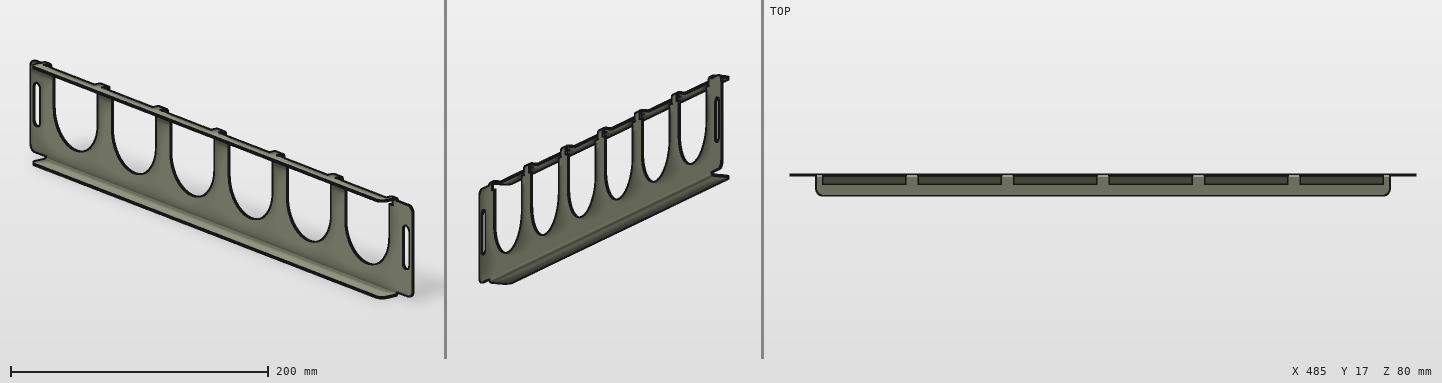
import cadquery as cq

length = 485.0
height = 80.0
depth = 17.0
sheet = 1.5
bend_radius = 3.0

flange_inset = 20.0
flange_length = length - 2 * flange_inset
flange_corner_radius = 6.0
web_corner_radius = 6.0

opening_count = 6
opening_end_distance = 25.0
opening_width = 56.0
opening_depth = 63.0
notch_width = 64.5
notch_depth = 8.0
opening_pitch = (length - 2 * opening_end_distance - notch_width) / (opening_count - 1)

slot_length = 35.5
slot_width = 8.2
slot_end_distance = 8.2
slot_height = 42.0


def make_channel():
    """C section with rounded folds; back face on Y = 0, underside on Z = 0."""
    section = (
        cq.Workplane("YZ")
        .moveTo(-depth, 0)
        .lineTo(-bend_radius, 0)
        .radiusArc((0, bend_radius), -bend_radius)
        .lineTo(0, height - bend_radius)
        .radiusArc((-bend_radius, height), -bend_radius)
        .lineTo(-depth, height)
        .lineTo(-depth, height - sheet)
        .lineTo(-bend_radius, height - sheet)
        .radiusArc((-sheet, height - bend_radius), bend_radius - sheet)
        .lineTo(-sheet, bend_radius)
        .radiusArc((-bend_radius, sheet), bend_radius - sheet)
        .lineTo(-depth, sheet)
        .close()
    )
    channel = section.extrude(flange_length / 2, both=True)
    return channel.edges("|Z and <Y").fillet(flange_corner_radius)


def make_web():
    """Flat web over the full length, between the two folds."""
    web = cq.Workplane("XY").box(
        length, sheet, height - 2 * bend_radius, centered=(True, False, False)
    )
    web = web.edges("|Y").fillet(web_corner_radius)
    return web.translate((0, -sheet, bend_radius))


def make_opening(center_x):
    """Cutter for one U opening in the web and its notch over the top fold."""
    radius = opening_width / 2
    arc_center_z = height - opening_depth + radius
    shoulder_z = height - notch_depth
    u_shape = (
        cq.Workplane("XZ")
        .moveTo(center_x - radius, shoulder_z)
        .lineTo(center_x - radius, arc_center_z)
        .threePointArc(
            (center_x, arc_center_z - radius),
            (center_x + radius, arc_center_z),
        )
        .lineTo(center_x + radius, shoulder_z)
        .close()
        .extrude(notch_depth)
    )
    notch = (
        cq.Workplane("XY")
        .box(notch_width, notch_depth, notch_depth, centered=(True, False, False))
        .translate((center_x, -notch_depth, shoulder_z))
    )
    return u_shape.union(notch)


def make_end_slots():
    """Cutters for the mounting slots at both ends of the web."""
    slot_x = length / 2 - slot_end_distance
    return (
        cq.Workplane("XZ")
        .pushPoints([(-slot_x, slot_height), (slot_x, slot_height)])
        .slot2D(slot_length, slot_width, 90)
        .extrude(sheet)
    )


result = make_channel().union(make_web())
for index in range(opening_count):
    opening_x = (index - (opening_count - 1) / 2) * opening_pitch
    result = result.cut(make_opening(opening_x))
result = result.cut(make_end_slots())